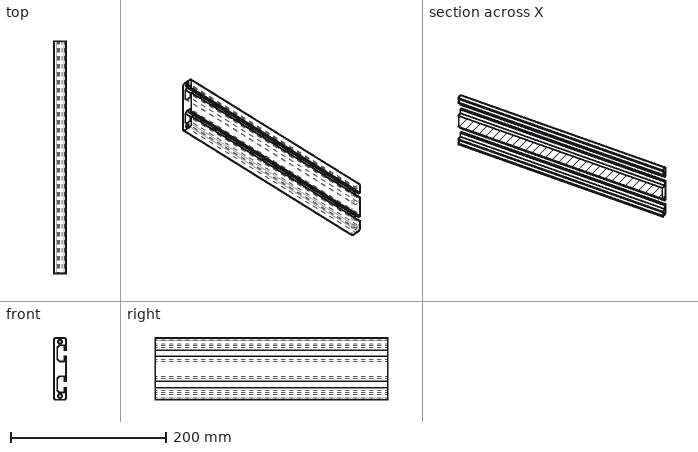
import cadquery as cq

length = 300.0
width = 16.0
height = 80.0
corner_radius = 3.0

slot_pitch = height / 2
slot_height = 20.7
slot_opening = 8.0
slot_chamfer = 2.7
back_wall = 4.5
lip_thickness = 2.7

channel_diameter = 4.8
channel_edge_distance = 5.0


def extrude_along_y(sketch):
    """Extrude an XZ sketch over the full length, centred on Y = 0."""
    return sketch.extrude(length / 2, both=True)


def make_body():
    body = extrude_along_y(cq.Workplane("XZ").rect(width, height))
    return body.edges("|Y").fillet(corner_radius)


def make_slot(center_z):
    """T-slot with its two back corners chamfered."""
    back_x = back_wall - width / 2
    lip_x = width / 2 - lip_thickness
    half_height = slot_height / 2
    half_opening = slot_opening / 2
    outline = [
        (back_x, half_height - slot_chamfer),
        (back_x + slot_chamfer, half_height),
        (lip_x, half_height),
        (lip_x, half_opening),
        (width / 2, half_opening),
    ]
    mirrored = [(x, -z) for x, z in reversed(outline)]
    sketch = cq.Workplane("XZ", origin=(0, 0, center_z)).polyline(outline + mirrored).close()
    return extrude_along_y(sketch)


def make_channel(center_z):
    sketch = cq.Workplane("XZ", origin=(0, 0, center_z)).circle(channel_diameter / 2)
    return extrude_along_y(sketch)


result = make_body()
for side in (-1, 1):
    result = result.cut(make_slot(side * slot_pitch / 2))
    result = result.cut(make_channel(side * (height / 2 - channel_edge_distance)))